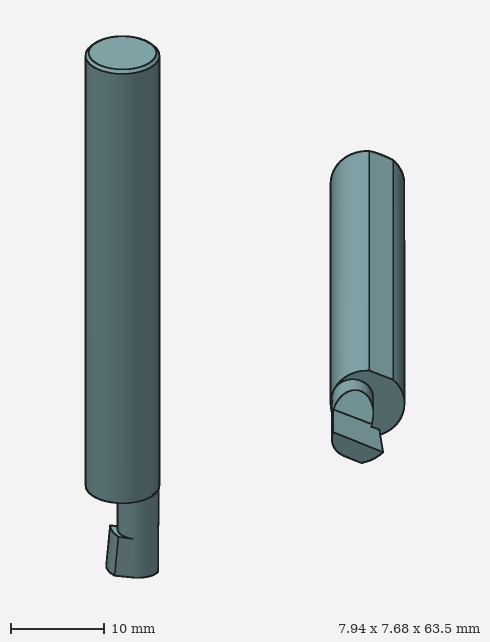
import cadquery as cq
import math


total_length = 63.5
shank_diameter = 7.9375
shank_radius = shank_diameter / 2
end_margin = 1.0

shank_bottom = 10.25
shank_flat_y = 3.71
rim_chamfer = 0.35

neck_diameter = 4.45
neck_radius = neck_diameter / 2
neck_x = shank_radius - neck_radius

slope_bottom = 5.7
slope_angle = 43.0

head_height = 5.1
tip_x = -1.83
flank_lean_angle = 5.0
flank_radius = 5.0
flank_heel_x = -1.01
flank_heel_y = -1.53
heel_corner_x = -0.30
end_edge_angle = 2.0
end_relief_angle = 5.0


def make_shank():
    """Round shank with a chamfered top rim and a flat along +Y."""
    rim_radius = shank_radius - rim_chamfer
    shank = (
        cq.Workplane("XZ")
        .moveTo(0, shank_bottom)
        .lineTo(shank_radius, shank_bottom)
        .lineTo(shank_radius, total_length - rim_chamfer)
        .lineTo(rim_radius, total_length)
        .lineTo(0, total_length)
        .close()
        .revolve(360, (0, 0, 0), (0, 1, 0))
    )
    flat_cut = (
        cq.Workplane("XY")
        .box(shank_diameter, shank_diameter, total_length, centered=(True, False, False))
        .translate((0, shank_flat_y, 0))
    )
    return shank.cut(flat_cut)


def make_neck():
    """Eccentric neck, cut back to the rake face at Y = 0 below the slope."""
    neck = (
        cq.Workplane("XY", origin=(neck_x, 0, -end_margin))
        .circle(neck_radius)
        .extrude(shank_bottom + end_margin)
    )
    slope_depth = neck_diameter
    slope_top = slope_bottom + slope_depth * math.tan(math.radians(slope_angle))
    rake_cut = (
        cq.Workplane("YZ")
        .moveTo(0, -end_margin)
        .lineTo(0, slope_bottom)
        .lineTo(slope_depth, slope_top)
        .lineTo(slope_depth, -end_margin)
        .close()
        .extrude(shank_diameter, both=True)
    )
    return neck.cut(rake_cut)


def flank_outline(workplane, shift):
    """Head cross-section with its flank moved by shift along X."""
    start = (tip_x + shift, 0)
    heel = (flank_heel_x + shift, flank_heel_y)
    return (
        workplane.moveTo(*start)
        .radiusArc(heel, -flank_radius)
        .lineTo(heel_corner_x + shift, -neck_radius)
        .lineTo(neck_x, -neck_radius)
        .lineTo(neck_x, 0)
        .close()
    )


def make_head():
    """Cutting head with a leaning curved flank and a flat heel."""
    lean = math.tan(math.radians(flank_lean_angle))
    bottom = cq.Workplane("XY", origin=(0, 0, -end_margin))
    lower = flank_outline(bottom, -end_margin * lean)
    upper = lower.workplane(offset=head_height + end_margin)
    return flank_outline(upper, head_height * lean).loft(ruled=True)


def make_end_cut():
    """Block below the tip whose tilted top face forms the relieved end."""
    block_size = total_length
    return (
        cq.Workplane("XY")
        .box(block_size, block_size, block_size)
        .translate((0, 0, -block_size / 2))
        .rotate((0, 0, 0), (1, 0, 0), -end_relief_angle)
        .rotate((0, 0, 0), (0, 1, 0), -end_edge_angle)
        .translate((tip_x, 0, 0))
    )


cutter = make_neck().union(make_head()).cut(make_end_cut())
result = make_shank().union(cutter)